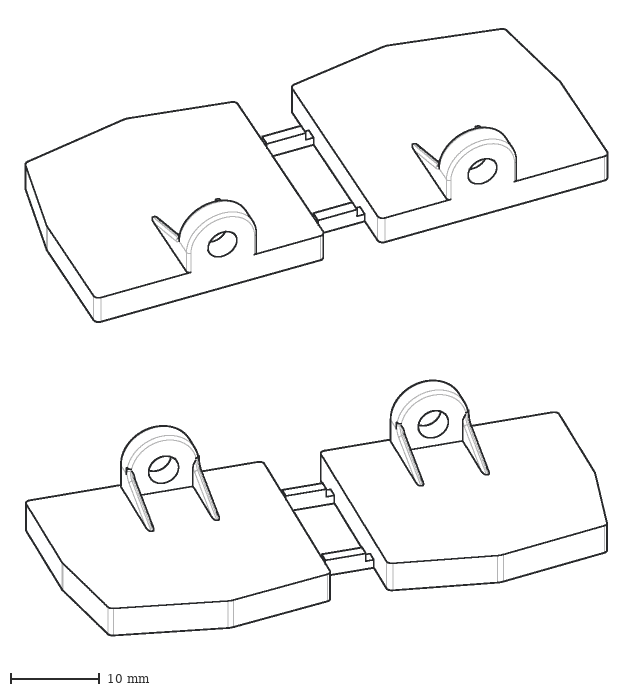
import cadquery as cq

length_x = 27.5
total_y = 63.2
plate_height = 3.6
plate_gap = 6.7
inner_corner_x = 2.15
tip_x = -0.03
outer_corner_x = 2.5
outer_corner_drop = 2.1
outer_bend_x = 13.6
corner_radius = 0.65
bend_radius = 1.9

lug_y = 16.0
lug_radius = 4.3
lug_thickness = 2.8
total_z = 10.75
hole_diameter = 3.55
lug_edge_radius = 0.4
lug_axis_z = total_z - lug_radius
lug_face_x = length_x - lug_thickness

rib_start_x = 16.95
rib_width = 0.8
rib_top_z = 6.3
rib_edge_radius = 0.3
rib_blend_radius = 0.95

bridge_width = 1.4
bridge_centers_x = (8.0, 22.55)
bridge_end_height = 1.1
bridge_mid_height = 2.1
bridge_mid_length = 4.8


def make_plate():
    inner_y = plate_gap / 2
    outer_y = total_y / 2
    plate = (
        cq.Workplane("XY")
        .moveTo(length_x, inner_y)
        .lineTo(inner_corner_x, inner_y)
        .lineTo(tip_x, lug_y)
        .lineTo(outer_corner_x, outer_y - outer_corner_drop)
        .lineTo(outer_bend_x, outer_y)
        .lineTo(length_x, outer_y)
        .close()
        .extrude(plate_height)
    )
    corners = plate.edges("|Z and (>X or <Y)")
    plate = corners.fillet(corner_radius)
    outer_corner = cq.selectors.NearestToPointSelector(
        (outer_corner_x, outer_y - outer_corner_drop, plate_height / 2)
    )
    plate = plate.edges(outer_corner).fillet(corner_radius)
    for x, y in ((tip_x, lug_y), (outer_bend_x, outer_y)):
        bend = cq.selectors.NearestToPointSelector((x, y, plate_height / 2))
        plate = plate.edges(bend).fillet(bend_radius)
    return plate


def make_lug():
    lug = (
        cq.Workplane("YZ", origin=(lug_face_x, lug_y, 0))
        .moveTo(-lug_radius, plate_height)
        .lineTo(-lug_radius, lug_axis_z)
        .threePointArc((0, total_z), (lug_radius, lug_axis_z))
        .lineTo(lug_radius, plate_height)
        .close()
        .extrude(lug_thickness)
    )
    rim = lug.faces("<X or >X").edges("not <Z")
    lug = rim.fillet(lug_edge_radius)
    hole = (
        cq.Workplane("YZ", origin=(lug_face_x, lug_y, lug_axis_z))
        .circle(hole_diameter / 2)
        .extrude(lug_thickness)
    )
    return lug.cut(hole)


def make_rib(side):
    """Rib flush with one flank of the lug; side is -1 or 1."""
    rib_y = lug_y + side * (lug_radius - rib_width / 2)
    overlap = lug_edge_radius
    rib = (
        cq.Workplane("XZ", origin=(0, rib_y + rib_width / 2, 0))
        .moveTo(rib_start_x, plate_height)
        .lineTo(lug_face_x, rib_top_z)
        .lineTo(lug_face_x, rib_top_z + rib_blend_radius)
        .lineTo(lug_face_x + overlap, rib_top_z + rib_blend_radius)
        .lineTo(lug_face_x + overlap, plate_height)
        .close()
        .extrude(rib_width)
    )
    blend = cq.selectors.NearestToPointSelector((lug_face_x, rib_y, rib_top_z))
    rib = rib.edges(blend).fillet(rib_blend_radius)
    slope = rib.faces("<X")
    return slope.edges("<Y or >Y").fillet(rib_edge_radius)


def make_bridge(center_x):
    base = cq.Workplane("XY").rect(bridge_width, plate_gap).extrude(bridge_end_height)
    middle = cq.Workplane("XY").rect(bridge_width, bridge_mid_length).extrude(bridge_mid_height)
    return base.union(middle).translate((center_x, 0, 0))


half = make_plate().union(make_lug())
for side in (-1, 1):
    half = half.union(make_rib(side))

result = half.union(half.mirror("XZ"))
for center_x in bridge_centers_x:
    result = result.union(make_bridge(center_x))